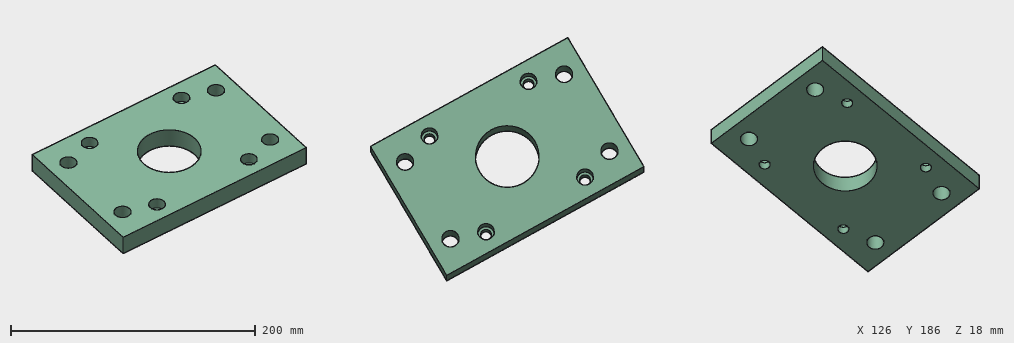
import cadquery as cq

width = 126.0
length = 186
thickness = 18.0

bore_diameter = 52

corner_hole_diameter = 14.0
corner_spacing_x = 75.0
corner_spacing_y = 150.0

screw_spacing = 93.4
screw_hole_diameter = 9.0
counterbore_diameter = 13.5
counterbore_depth = 10.0


def rectangle_corners(body, spacing_x, spacing_y):
    """Select the four corners of a centered rectangle on the top face."""
    top = body.faces(">Z").workplane(origin=(0, 0, thickness))
    return top.rect(spacing_x, spacing_y, forConstruction=True).vertices()


plate = cq.Workplane("XY").box(width, length, thickness, centered=(True, True, False))
plate = plate.faces(">Z").workplane().hole(bore_diameter)
plate = rectangle_corners(plate, corner_spacing_x, corner_spacing_y).hole(corner_hole_diameter)

result = rectangle_corners(plate, screw_spacing, screw_spacing).cboreHole(
    screw_hole_diameter, counterbore_diameter, counterbore_depth
)